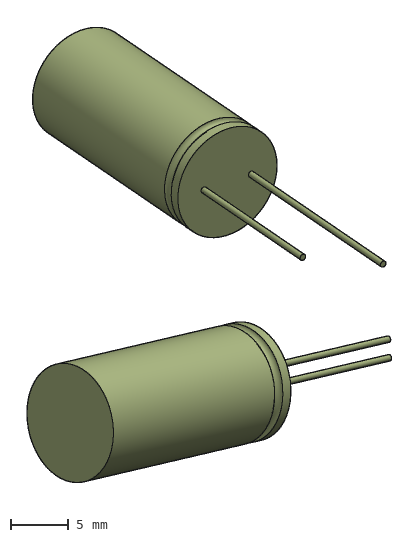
import cadquery as cq

total_length = 42.0
can_diameter = 10.5
can_radius = can_diameter / 2

can_length = 20.0
groove_radius = 0.5
rim_width = 1.0

lead_diameter = 0.6
lead_spacing = 5.0
short_lead_setback = 5.0

can_end_x = -total_length / 2
groove_start_x = can_end_x + can_length
groove_bottom_x = groove_start_x + groove_radius
groove_end_x = groove_bottom_x + groove_radius
lead_face_x = groove_end_x + rim_width
long_lead_tip_x = total_length / 2
short_lead_tip_x = long_lead_tip_x - short_lead_setback


def round_bar(start_x, end_x, diameter, y=0):
    """Solid cylinder parallel to X."""
    return (
        cq.Workplane("YZ", origin=(start_x, y, 0))
        .circle(diameter / 2)
        .extrude(end_x - start_x)
    )


def groove_ring():
    """Torus centred on the case surface, which cuts the half-round crimp groove."""
    return cq.Workplane(
        cq.Solid.makeTorus(
            can_radius,
            groove_radius,
            cq.Vector(groove_bottom_x, 0, 0),
            cq.Vector(1, 0, 0),
        )
    )


def make_can():
    """Can body, which ends at the bottom of the crimp groove."""
    return round_bar(can_end_x, groove_bottom_x, can_diameter).cut(groove_ring())


def make_end_seal():
    """End seal with its rim, from the bottom of the groove to the lead face."""
    return round_bar(groove_bottom_x, lead_face_x, can_diameter).cut(groove_ring())


def make_lead(tip_x, y):
    """Straight round lead standing on the lead face."""
    return round_bar(lead_face_x, tip_x, lead_diameter, y)


can = make_can()
end_seal = make_end_seal()

lead_places = [
    (long_lead_tip_x, lead_spacing / 2),
    (short_lead_tip_x, -lead_spacing / 2),
]
leads = [make_lead(tip_x, y) for tip_x, y in lead_places]

result = cq.Compound.makeCompound(
    [can.val(), end_seal.val(), *[lead.val() for lead in leads]]
)